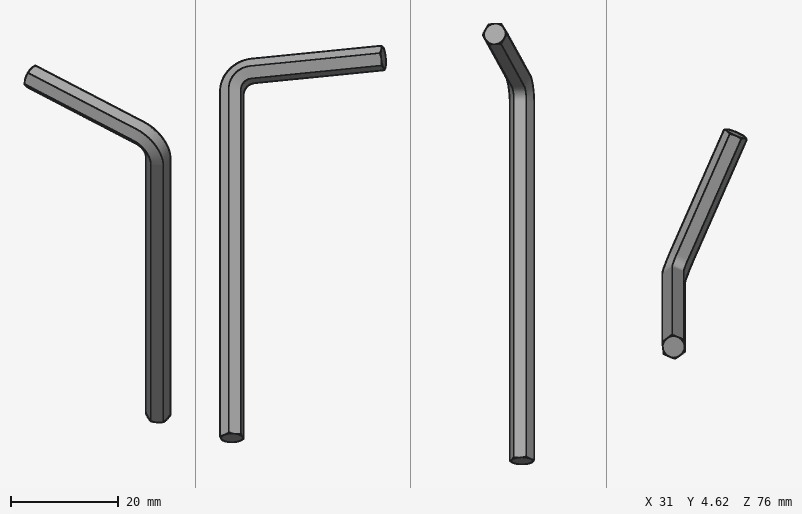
import cadquery as cq
import math

height = 76.0
reach = 31.0

across_flats = 4.0
across_corners = across_flats / math.cos(math.radians(30))
bend_radius = across_flats

end_face_diameter = 4.0
chamfer_angle = 30

long_arm_x = reach / 2 - across_flats / 2
short_arm_z = height / 2 - across_flats / 2
short_end_x = -reach / 2
long_end_z = -height / 2


def bent_bar():
    """Hexagonal bar swept along both arms, with flats on the outside of the bend."""
    path = (
        cq.Workplane("XZ")
        .moveTo(short_end_x, short_arm_z)
        .lineTo(long_arm_x - bend_radius, short_arm_z)
        .radiusArc((long_arm_x, short_arm_z - bend_radius), bend_radius)
        .lineTo(long_arm_x, long_end_z)
    )
    section = cq.Plane(origin=(short_end_x, 0, short_arm_z), xDir=(0, 1, 0), normal=(1, 0, 0))
    return cq.Workplane(section).polygon(6, across_corners).sweep(path)


def end_trim(origin, inward):
    """Material outside the chamfer cone at an end whose axis points inward."""
    end_radius = end_face_diameter / 2
    outer_radius = across_corners
    depth = (outer_radius - end_radius) * math.tan(math.radians(chamfer_angle))
    plane = cq.Plane(origin=origin, xDir=(0, 1, 0), normal=inward)
    blank = cq.Workplane(plane).circle(outer_radius).extrude(depth)
    cone = cq.Solid.makeCone(end_radius, outer_radius, depth, pnt=cq.Vector(*origin), dir=cq.Vector(*inward))
    return blank.cut(cq.Workplane(obj=cone))


result = bent_bar()
result = result.cut(end_trim((short_end_x, 0, short_arm_z), (1, 0, 0)))
result = result.cut(end_trim((long_arm_x, 0, long_end_z), (0, 0, 1)))